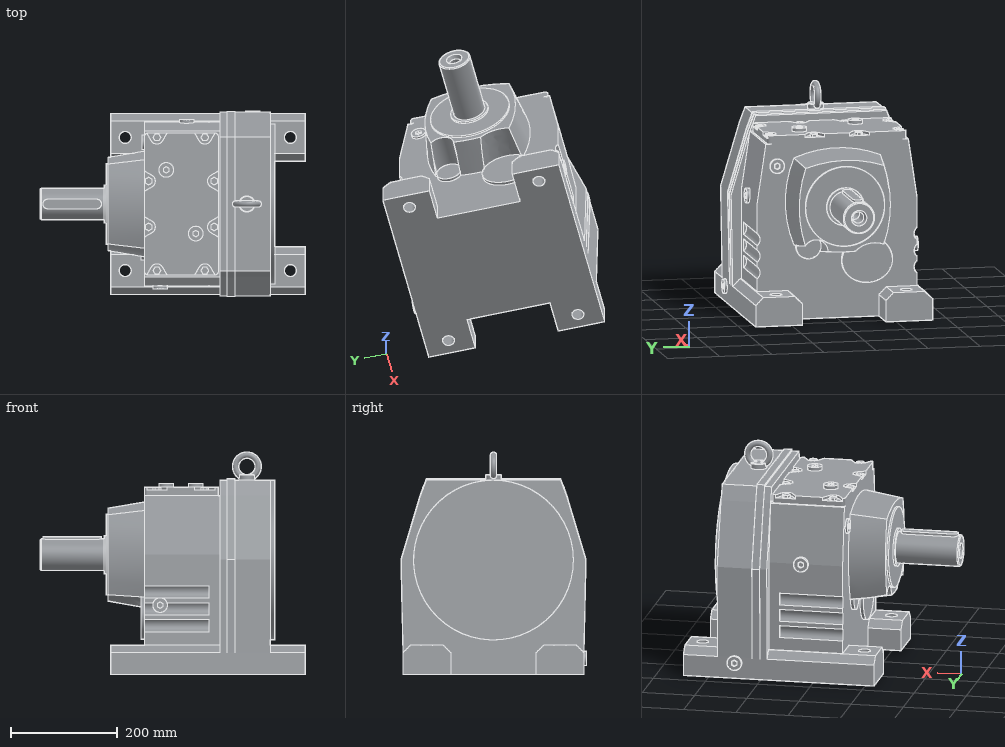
import cadquery as cq
import math


shaft_height = 225.0
shaft_diameter = 60.0
shaft_length = 120.0
shaft_chamfer = 2.0
key_length = 110.0
key_width = 18.0
key_depth = 7.0
key_rise = 4.0
key_start = (shaft_length - key_length) / 2
center_hole_diameter = 21.0
center_hole_depth = 45.0
center_cone_diameter = 29.5
center_cone_depth = 7.5
drill_point_angle = 118.0

bearing_ring_diameter = 72.0
bearing_cap_diameter = 152.0
bearing_cap_x = 123.5
boss_x = 127.0
body_x = 195.5
flange_x = 337.0
gasket_x = 350.5
cover_x = 365.5
cover_end_x = 432.0
rear_disc_end_x = 440.5

boss_front_corner = 75.0
boss_front_bulge = 87.5
boss_back_corner = 83.0
boss_back_bulge = 99.5

body_half_width = 153.5
body_knee_z = shaft_height
body_top_half_width = 137.0
body_top_z = 336.0
flange_bottom_half_width = 170.0
flange_knee_half_width = 173.0
flange_knee_z = 216.0
flange_top_half_width = 126.0
flange_top_z = 365.0
gasket_side_overlap = 1.0
gasket_top_overlap = 3.0
rear_disc_diameter = 300.0
rear_disc_z = 215.0

foot_start_x = 132.0
foot_end_x = 497.5
foot_outer_y = 170.0
foot_width = 90.0
foot_height = 55.5
foot_chamfer = 14.5
foot_hole_diameter = 22.0
foot_hole_pitch_x = 310.0
foot_hole_pitch_y = 250.0
foot_hole_first_x = 159.5

groove_chord = 23.0
groove_depth = 5.5
groove_end_x = 316.5
groove_pitch = 31.7
groove_count = 3
groove_lowest_z = 91.5

front_cover_x = body_x - 6.5
small_cover_diameter = 47.5
small_cover_y = 56.0
small_cover_z = 139.3
large_cover_width = 97.0
large_cover_height = 87.0
large_cover_y = -56.6
large_cover_z = 109.6

lid_length = 139.0
lid_half_width = 133.0
lid_thickness = 16.0
lid_corner_radius = 6.5
lid_top_z = body_top_z + lid_thickness
lid_center_x = body_x + lid_length / 2
lid_bolt_edge_distance = 8.0
lid_end_bolt_spacing = 90.0
lid_side_bolt_spacing = 86.0
lid_end_bolt_mid_x = 264.0
pocket_radius = 12.5
pocket_half_width = 19.0
pocket_depth = 6.0
bolt_head_corners = 14.5
bolt_head_height = 5.3

plug_diameter = 27.5
lid_plug_height = 7.0
front_plug_height = 4.5
right_plug_height = 6.0
left_plug_height = 5.0
plug_embed = 12.0
plug_socket_corners = 12.0
plug_socket_depth = 4.0

eyebolt_x = 388.0
eyebolt_collar_diameter = 30.0
eyebolt_collar_height = 11.0
eyebolt_collar_chamfer = 1.0
eyebolt_ring_radius = 21.2
eyebolt_wire_radius = 6.1
part_height = 418.0
eyebolt_ring_z = part_height - eyebolt_ring_radius - eyebolt_wire_radius


def plane_facing_x(x, y=0.0, z=0.0):
    """Workplane at a point, local axes along +Y and +Z, growing toward +X."""
    return cq.Workplane(cq.Plane(origin=(x, y, z), xDir=(0, 1, 0), normal=(1, 0, 0)))


def disc_along_x(start_x, end_x, diameter, y=0.0, z=shaft_height):
    """Round disc between two stations, centered on the shaft axis by default."""
    return plane_facing_x(start_x, y, z).circle(diameter / 2).extrude(end_x - start_x)


def symmetric_slab(half_profile, start_x, end_x):
    """Extrude a (half width, height) profile, mirrored about Y = 0, along X."""
    mirrored = [(-half_width, z) for half_width, z in reversed(half_profile)]
    return plane_facing_x(start_x).polyline(half_profile + mirrored).close().extrude(end_x - start_x)


def make_body():
    profile = [
        (body_half_width, 0),
        (body_half_width, body_knee_z),
        (body_top_half_width, body_top_z),
    ]
    return symmetric_slab(profile, body_x, flange_x)


def make_flanges():
    """Case flange, raised gasket strip and rear cover, closed by a round disc."""
    profile = [
        (flange_bottom_half_width, 0),
        (flange_bottom_half_width, foot_height - foot_chamfer),
        (flange_knee_half_width, flange_knee_z),
        (body_top_half_width, body_top_z),
        (flange_top_half_width, flange_top_z),
    ]
    gasket_profile = [
        (flange_bottom_half_width, 0),
        (flange_bottom_half_width, foot_height - foot_chamfer),
        (flange_knee_half_width + gasket_side_overlap, flange_knee_z),
        (body_top_half_width + gasket_side_overlap, body_top_z),
        (flange_top_half_width, flange_top_z + gasket_top_overlap),
    ]
    case = symmetric_slab(profile, flange_x, cover_end_x)
    gasket = symmetric_slab(gasket_profile, gasket_x, cover_x)
    disc = disc_along_x(cover_end_x, rear_disc_end_x, rear_disc_diameter, z=rear_disc_z)
    return case.union(gasket).union(disc)


def make_foot(side):
    """Foot bar on the +Y side (side = 1) or the -Y side (side = -1)."""
    length = foot_end_x - foot_start_x
    center_y = side * (foot_outer_y - foot_width / 2)
    bar = (
        plane_facing_x(foot_start_x, center_y)
        .rect(foot_width, 2 * foot_height)
        .extrude(length)
        .edges("|X and >Z")
        .chamfer(foot_chamfer)
    )
    lower_half = plane_facing_x(foot_start_x, center_y, -foot_height / 2).rect(foot_width, foot_height)
    bar = bar.cut(lower_half.extrude(length))
    last_hole_x = foot_hole_first_x + foot_hole_pitch_x
    hole_points = [(x, side * foot_hole_pitch_y / 2) for x in (foot_hole_first_x, last_hole_x)]
    holes = cq.Workplane("XY").pushPoints(hole_points).circle(foot_hole_diameter / 2).extrude(foot_height)
    return bar.cut(holes)


def bulged_square(plane, corner, bulge):
    return (
        plane.moveTo(corner, corner)
        .threePointArc((0, bulge), (-corner, corner))
        .threePointArc((-bulge, 0), (-corner, -corner))
        .threePointArc((0, -bulge), (corner, -corner))
        .threePointArc((bulge, 0), (corner, corner))
        .close()
    )


def make_boss():
    """Tapered boss, scooped out in front of the two covers, with its bearing cap."""
    front = bulged_square(plane_facing_x(boss_x, z=shaft_height), boss_front_corner, boss_front_bulge)
    back_plane = front.workplane(offset=body_x - boss_x)
    boss = bulged_square(back_plane, boss_back_corner, boss_back_bulge).loft(ruled=True)
    boss = boss.cut(front_cover_prisms(boss_x, front_cover_x))
    cap = disc_along_x(bearing_cap_x, boss_x, bearing_cap_diameter)
    ring = disc_along_x(shaft_length, bearing_cap_x, bearing_ring_diameter)
    return boss.union(cap).union(ring)


def make_shaft():
    shaft = disc_along_x(0, shaft_length, shaft_diameter).faces("<X").chamfer(shaft_chamfer)
    key_top_z = shaft_height + shaft_diameter / 2 + key_rise
    key = (
        cq.Workplane("XY", origin=(key_start + key_length / 2, 0, key_top_z))
        .slot2D(key_length, key_width)
        .extrude(-key_depth - key_rise)
    )
    hole_radius = center_hole_diameter / 2
    point_length = hole_radius / math.tan(math.radians(drill_point_angle / 2))
    center_hole = (
        cq.Workplane("XY")
        .polyline([
            (0, 0),
            (0, center_cone_diameter / 2),
            (center_cone_depth, hole_radius),
            (center_hole_depth, hole_radius),
            (center_hole_depth + point_length, 0),
        ])
        .close()
        .revolve(360, (0, 0, 0), (1, 0, 0))
        .translate((0, 0, shaft_height))
    )
    return shaft.union(key).cut(center_hole)


def front_cover_prisms(start_x, end_x):
    """The round and the oval cover outlines, extruded between two stations."""
    round_prism = disc_along_x(start_x, end_x, small_cover_diameter, small_cover_y, small_cover_z)
    oval_prism = (
        plane_facing_x(start_x, large_cover_y, large_cover_z)
        .ellipse(large_cover_width / 2, large_cover_height / 2)
        .extrude(end_x - start_x)
    )
    return round_prism.union(oval_prism)


def make_grooves():
    """Cylinders that each scoop one shallow groove out of a body side."""
    radius = (groove_chord**2 / 4 + groove_depth**2) / (2 * groove_depth)
    axis_y = body_half_width - groove_depth + radius
    grooves = cq.Workplane("XY")
    for side in (1, -1):
        for row in range(groove_count):
            z = groove_lowest_z + row * groove_pitch
            grooves = grooves.add(disc_along_x(body_x, groove_end_x, 2 * radius, side * axis_y, z))
    return grooves.combine()


def lid_bolt_stations():
    """(x, y, angle) of the lid edge beside each bolt; angle turns +Y to point inward."""
    stations = []
    for sign in (1, -1):
        end_x = lid_end_bolt_mid_x + sign * lid_end_bolt_spacing / 2
        side_y = sign * lid_side_bolt_spacing / 2
        stations.append((end_x, -lid_half_width, 0))
        stations.append((end_x, lid_half_width, 180))
        stations.append((body_x, side_y, -90))
        stations.append((body_x + lid_length, side_y, 90))
    return stations


def make_bolt_pocket():
    """Pocket open at the lid edge (Y = 0): flared sides tangent to a round end."""
    reach = math.hypot(pocket_half_width, lid_bolt_edge_distance)
    edge_angle = math.atan2(-lid_bolt_edge_distance, pocket_half_width)
    tangent_angle = edge_angle + math.acos(pocket_radius / reach)
    tangent_x = pocket_radius * math.cos(tangent_angle)
    tangent_y = lid_bolt_edge_distance + pocket_radius * math.sin(tangent_angle)
    return (
        cq.Workplane("XY", origin=(0, 0, lid_top_z - pocket_depth))
        .moveTo(-pocket_half_width, 0)
        .lineTo(-tangent_x, tangent_y)
        .threePointArc((0, lid_bolt_edge_distance + pocket_radius), (tangent_x, tangent_y))
        .lineTo(pocket_half_width, 0)
        .close()
        .extrude(pocket_depth)
    )


def make_lid():
    lid = (
        cq.Workplane("XY", origin=(lid_center_x, 0, body_top_z))
        .rect(lid_length, 2 * lid_half_width)
        .extrude(lid_thickness)
        .edges("|Z")
        .fillet(lid_corner_radius)
    )
    pocket = make_bolt_pocket()
    bolt_head = (
        cq.Workplane("XY", origin=(0, lid_bolt_edge_distance, lid_top_z - pocket_depth))
        .polygon(6, bolt_head_corners)
        .extrude(bolt_head_height)
    )
    for x, y, angle in lid_bolt_stations():
        lid = lid.cut(pocket.rotate((0, 0, 0), (0, 0, 1), angle).translate((x, y, 0)))
        lid = lid.union(bolt_head.rotate((0, 0, 0), (0, 0, 1), angle).translate((x, y, 0)))
    return lid


def make_plug(seat, outward, socket_axis, height):
    """Screw plug seated at a point of a face; the head rises along outward."""
    plane = cq.Plane(origin=seat, xDir=socket_axis, normal=outward)
    shank = cq.Workplane(plane).circle(plug_diameter / 2).extrude(-plug_embed)
    head = cq.Workplane(plane).circle(plug_diameter / 2).extrude(height)
    socket = (
        cq.Workplane(plane)
        .workplane(offset=height - plug_socket_depth)
        .polygon(6, plug_socket_corners)
        .extrude(plug_socket_depth)
    )
    return shank.union(head).cut(socket)


def make_plugs():
    """Two plugs on the lid, one on the front, one on the -Y side, two on the +Y side."""
    up = (0, 0, 1)
    forward = (-1, 0, 0)
    left = (0, 1, 0)
    right = (0, -1, 0)
    return [
        make_plug((236.5, 64.0, lid_top_z), up, left, lid_plug_height),
        make_plug((292.0, -55.5, lid_top_z), up, left, lid_plug_height),
        make_plug((body_x, 115.6, 294.0), forward, up, front_plug_height),
        make_plug((225.0, -body_half_width, 130.4), right, up, right_plug_height),
        make_plug((275.0, body_half_width, body_knee_z), left, up, left_plug_height),
        make_plug((399.0, foot_outer_y, 30.5), left, up, left_plug_height),
    ]


def make_eyebolt():
    collar = (
        cq.Workplane("XY", origin=(eyebolt_x, 0, flange_top_z))
        .circle(eyebolt_collar_diameter / 2)
        .extrude(eyebolt_collar_height)
        .faces(">Z")
        .chamfer(eyebolt_collar_chamfer)
    )
    ring = cq.Workplane(
        cq.Solid.makeTorus(
            eyebolt_ring_radius,
            eyebolt_wire_radius,
            cq.Vector(eyebolt_x, 0, eyebolt_ring_z),
            cq.Vector(0, 1, 0),
        )
    )
    return collar.union(ring)


gearbox = make_body().cut(make_grooves())
gearbox = gearbox.union(make_flanges())
gearbox = gearbox.union(make_foot(1)).union(make_foot(-1))
gearbox = gearbox.union(make_boss()).union(make_shaft())
gearbox = gearbox.union(front_cover_prisms(front_cover_x, body_x)).union(make_lid())
for plug in make_plugs():
    gearbox = gearbox.union(plug)
result = gearbox.union(make_eyebolt())